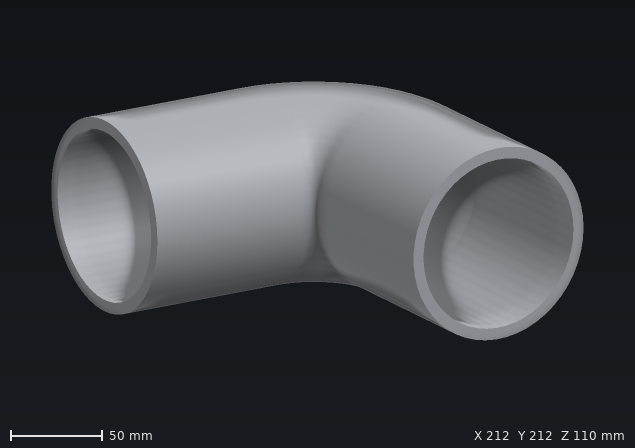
import cadquery as cq

overall_length = 212.0
outer_diameter = 110.0
bore_diameter = 96.9
straight_length = 100.0
bend_angle = 90.0

bend_radius = overall_length - straight_length - outer_diameter / 2


def ring(plane):
    """Pipe cross-section centred on the plane's origin."""
    return cq.Workplane(plane).circle(outer_diameter / 2).circle(bore_diameter / 2)


front_end_plane = cq.Plane.XZ(origin=(0, -bend_radius, 0))
right_end_plane = cq.Plane.YZ(origin=(bend_radius, 0, 0))

bend = ring(front_end_plane).revolve(bend_angle, (bend_radius, 0), (bend_radius, -1))

front_leg = ring(front_end_plane).extrude(straight_length)
right_leg = ring(right_end_plane).extrude(straight_length)

result = bend.union(front_leg).union(right_leg)